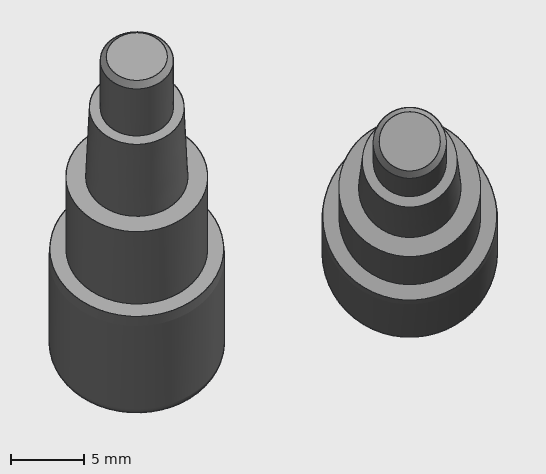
import cadquery as cq

head_radius = 6.0
head_rim_radius = 5.95
head_edge_radius = 1.0
head_draft_start = 10.1
head_height = 11.1

collar_radius = 4.85
collar_top = 19.0
nose_base_radius = 3.5
nose_tip_radius = 3.25
nose_top = 26.55

pin_radius = 2.5
pin_chamfer = 0.42
total_height = 32.1


def make_housing():
    """Revolved head, collar and tapered nose, with a rounded bottom edge."""
    profile = (
        cq.Workplane("XZ")
        .lineTo(head_radius, 0)
        .lineTo(head_radius, head_draft_start)
        .lineTo(head_rim_radius, head_height)
        .lineTo(collar_radius, head_height)
        .lineTo(collar_radius, collar_top)
        .lineTo(nose_base_radius, collar_top)
        .lineTo(nose_tip_radius, nose_top)
        .lineTo(0, nose_top)
        .close()
    )
    housing = profile.revolve(360, (0, 0, 0), (0, 1, 0))
    return housing.faces("<Z").edges().fillet(head_edge_radius)


def make_pin():
    """Cylindrical pin seated on the flat end of the nose."""
    pin = cq.Workplane("XY").workplane(offset=nose_top).circle(pin_radius).extrude(total_height - nose_top)
    return pin.faces(">Z").edges().chamfer(pin_chamfer)


housing = make_housing()
pin = make_pin()
result = cq.Compound.makeCompound([housing.val(), pin.val()])